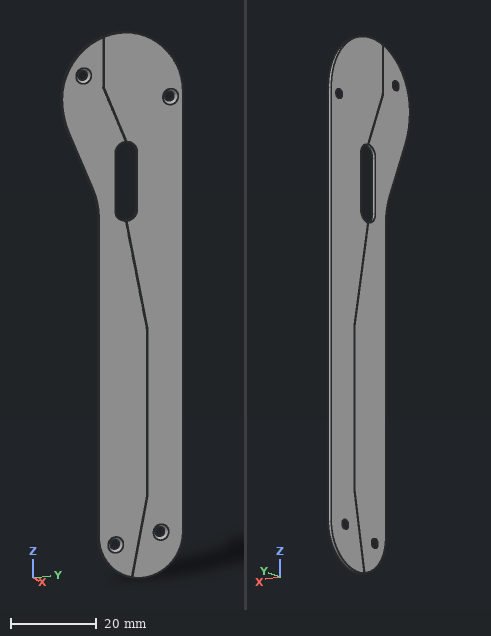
import cadquery as cq
import math


TOTAL_HEIGHT = 129.6
TOTAL_WIDTH = 29.7
THICKNESS = 0.95
GRIP_WIDTH = 20.6
NECK_ANGLE = math.radians(23.4)
SHOULDER_RADIUS = 20.7
NECK_RADIUS = 18.1

GRIP_RADIUS = GRIP_WIDTH / 2
HEAD_RADIUS = TOTAL_WIDTH / 2
HEAD_Y = GRIP_RADIUS - HEAD_RADIUS
HEAD_Z = TOTAL_HEIGHT - GRIP_RADIUS - HEAD_RADIUS

SLOT_WIDTH = 5.5
SLOT_LENGTH = 18.8
SLOT_Y = -3.6
SLOT_Z = 84.0

HOLE_DIAMETER = 2.2
SINK_DIAMETER = 3.8
SINK_DEPTH = (SINK_DIAMETER - HOLE_DIAMETER) / 2
FRONT_HOLES = [(-14.1, 109.7), (-6.2, -2.1)]
REAR_HOLES = [(7.3, 103.5), (4.9, 0.3)]

SEAM_GAP = 0.22
SEAM_TOP_Y = -9.2
SEAM_TOP_BEND_Z = 106.5
SEAM_GRIP_Y = 1.5
SEAM_UPPER_BEND_Z = 48.6
SEAM_LOWER_BEND_Z = 9.2
SEAM_FOOT_Y = -2.2
SEAM_FOOT_Z = -10.0

CLEARANCE = 6.5

SKETCH_PLANE = cq.Workplane("YZ", origin=(-THICKNESS / 2, 0, 0))


def polar(centre, radius, angle):
    """Point on a circle, with the angle measured from +Y towards +Z."""
    return (centre[0] + radius * math.cos(angle), centre[1] + radius * math.sin(angle))


def make_plate():
    """The whole plate: round head, sloping neck and straight grip with a round end."""
    head = (HEAD_Y, HEAD_Z)
    shoulder = (HEAD_Y - HEAD_RADIUS + SHOULDER_RADIUS, HEAD_Z)
    neck_normal = math.pi + NECK_ANGLE

    parallel_y, parallel_z = polar(shoulder, SHOULDER_RADIUS + NECK_RADIUS, neck_normal)
    neck_y = -GRIP_RADIUS - NECK_RADIUS
    neck_z = parallel_z - (neck_y - parallel_y) / math.tan(NECK_ANGLE)
    neck = (neck_y, neck_z)

    return (
        SKETCH_PLANE.moveTo(GRIP_RADIUS, 0)
        .lineTo(GRIP_RADIUS, HEAD_Z)
        .threePointArc(polar(head, HEAD_RADIUS, math.pi / 2), polar(head, HEAD_RADIUS, math.pi))
        .threePointArc(
            polar(shoulder, SHOULDER_RADIUS, math.pi + NECK_ANGLE / 2),
            polar(shoulder, SHOULDER_RADIUS, neck_normal),
        )
        .lineTo(*polar(neck, NECK_RADIUS, NECK_ANGLE))
        .threePointArc(polar(neck, NECK_RADIUS, NECK_ANGLE / 2), polar(neck, NECK_RADIUS, 0))
        .lineTo(-GRIP_RADIUS, 0)
        .threePointArc((0, -GRIP_RADIUS), (GRIP_RADIUS, 0))
        .close()
        .extrude(THICKNESS)
    )


def cut_slot(plate):
    slot = (
        SKETCH_PLANE.center(SLOT_Y, SLOT_Z)
        .slot2D(SLOT_LENGTH, SLOT_WIDTH, 90)
        .extrude(THICKNESS)
    )
    return plate.cut(slot)


def make_front_block(shift):
    """Block covering everything on the -Y side of the seam centre line, moved along Y by shift."""
    top_z = HEAD_Z + HEAD_RADIUS + CLEARANCE
    bottom_z = -GRIP_RADIUS - CLEARANCE
    outer_y = HEAD_Y - HEAD_RADIUS - CLEARANCE
    foot_slope = (SEAM_FOOT_Y - SEAM_GRIP_Y) / (SEAM_FOOT_Z - SEAM_LOWER_BEND_Z)
    bottom_y = SEAM_FOOT_Y + foot_slope * (bottom_z - SEAM_FOOT_Z)
    outline = [
        (SEAM_TOP_Y, top_z),
        (SEAM_TOP_Y, SEAM_TOP_BEND_Z),
        (SLOT_Y, SLOT_Z + SLOT_LENGTH / 2),
        (SLOT_Y, SLOT_Z - SLOT_LENGTH / 2),
        (SEAM_GRIP_Y, SEAM_UPPER_BEND_Z),
        (SEAM_GRIP_Y, SEAM_LOWER_BEND_Z),
        (bottom_y, bottom_z),
        (outer_y, bottom_z),
        (outer_y, top_z),
    ]
    return SKETCH_PLANE.center(shift, 0).polyline(outline).close().extrude(THICKNESS)


def drill(half, centres):
    """Cut screw holes through a half, each one countersunk from the +X face."""
    bores = SKETCH_PLANE.pushPoints(centres).circle(HOLE_DIAMETER / 2).extrude(THICKNESS)
    half = half.cut(bores)
    for y, z in centres:
        sink = cq.Solid.makeCone(
            HOLE_DIAMETER / 2,
            SINK_DIAMETER / 2,
            SINK_DEPTH,
            pnt=cq.Vector(THICKNESS / 2 - SINK_DEPTH, y, z),
            dir=cq.Vector(1, 0, 0),
        )
        half = half.cut(cq.Workplane(sink))
    return half


slotted_plate = cut_slot(make_plate())

front_region = make_front_block(-SEAM_GAP / 2)
front_half = drill(slotted_plate.intersect(front_region), FRONT_HOLES)

front_region_and_gap = make_front_block(SEAM_GAP / 2)
rear_half = drill(slotted_plate.cut(front_region_and_gap), REAR_HOLES)

result = cq.Compound.makeCompound([front_half.val(), rear_half.val()])